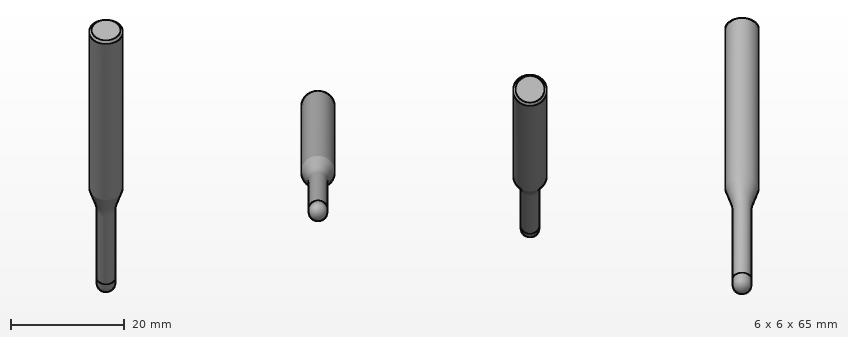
import cadquery as cq
import math

total_length = 65.0
shank_diameter = 6.0
shank_chamfer = 0.45
neck_diameter = 3.4
neck_top_height = 20.0
cone_half_angle = math.radians(16)
neck_blend_radius = 6.5
tip_length = 3.0

shank_radius = shank_diameter / 2
neck_radius = neck_diameter / 2


def blend_point(angle):
    """Radius and height on the neck blend where its tangent leans by the angle."""
    radius = neck_radius + neck_blend_radius * (1 - math.cos(angle))
    height = neck_top_height + neck_blend_radius * math.sin(angle)
    return radius, height


def make_shank():
    """Chamfered shank that tapers through a tangent blend into the slim neck."""
    cone_bottom_radius, cone_bottom_height = blend_point(cone_half_angle)
    cone_height = (shank_radius - cone_bottom_radius) / math.tan(cone_half_angle)
    cone_top_height = cone_bottom_height + cone_height
    return (
        cq.Workplane("XZ")
        .moveTo(0, tip_length)
        .lineTo(neck_radius, tip_length)
        .lineTo(neck_radius, neck_top_height)
        .threePointArc(
            blend_point(cone_half_angle / 2),
            (cone_bottom_radius, cone_bottom_height),
        )
        .lineTo(shank_radius, cone_top_height)
        .lineTo(shank_radius, total_length - shank_chamfer)
        .lineTo(shank_radius - shank_chamfer, total_length)
        .lineTo(0, total_length)
        .close()
        .revolve(360, (0, 0), (0, 1))
    )


def make_tip():
    """Cutting tip: a short cylinder, flush with the neck, ending in a hemisphere."""
    arc_middle_offset = neck_radius * math.sin(math.radians(45))
    return (
        cq.Workplane("XZ")
        .moveTo(0, 0)
        .threePointArc(
            (arc_middle_offset, neck_radius - arc_middle_offset),
            (neck_radius, neck_radius),
        )
        .lineTo(neck_radius, tip_length)
        .lineTo(0, tip_length)
        .close()
        .revolve(360, (0, 0), (0, 1))
    )


shank = make_shank()
tip = make_tip()

result = cq.Compound.makeCompound([shank.val(), tip.val()])